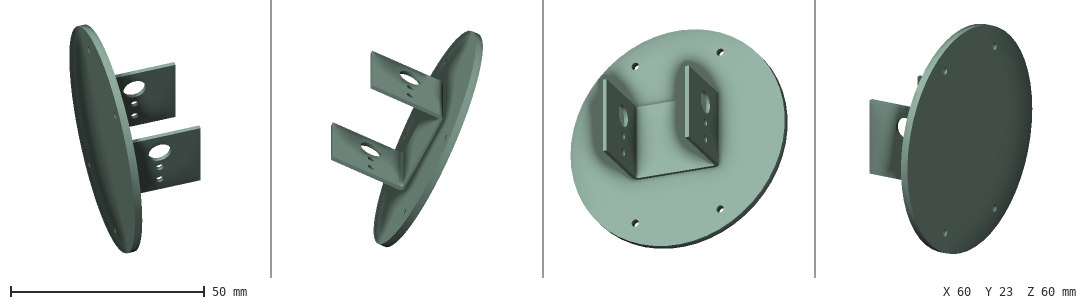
import cadquery as cq

plate_diameter = 60.0
plate_thickness = 2.0
plate_hole_diameter = 2.0
plate_hole_spacing_x = 23.75
plate_hole_spacing_z = 44.0

overall_depth = 23.0
bracket_width = 24.0
bracket_height = 20.0
sheet_thickness = 1.0
bend_outer_radius = 1.75
bend_inner_radius = bend_outer_radius - sheet_thickness

arm_hole_setback = 11.0
arm_hole_y = overall_depth - arm_hole_setback
large_hole_diameter = 6.0
large_hole_z = 4.0
small_hole_diameter = 2.0
small_hole_heights = (-1.6, -6.25)


def make_plate():
    """Disc with four through holes at the corners of a rectangle."""
    disc = cq.Workplane("XZ").circle(plate_diameter / 2).extrude(-plate_thickness)
    holes = (
        cq.Workplane("XZ")
        .rect(plate_hole_spacing_x, plate_hole_spacing_z, forConstruction=True)
        .vertices()
        .circle(plate_hole_diameter / 2)
        .extrude(-plate_thickness)
    )
    return disc.cut(holes)


def bend_block(width, front_y, bend_radius):
    """Block from front_y to the free arm ends, with its front vertical edges rounded."""
    return (
        cq.Workplane("XY")
        .box(width, overall_depth - front_y, bracket_height, centered=(True, False, True))
        .translate((0, front_y, 0))
        .edges("|Z and <Y")
        .fillet(bend_radius)
    )


def arm_hole(diameter, z):
    """Cylinder along X that crosses both arms."""
    return (
        cq.Workplane("YZ")
        .center(arm_hole_y, z)
        .circle(diameter / 2)
        .extrude(bracket_width / 2, both=True)
    )


def make_bracket():
    """Bent sheet channel, open toward +Y, with holes through the arms."""
    outside = bend_block(bracket_width, plate_thickness, bend_outer_radius)
    inside = bend_block(
        bracket_width - 2 * sheet_thickness,
        plate_thickness + sheet_thickness,
        bend_inner_radius,
    )
    bracket = outside.cut(inside)
    bracket = bracket.cut(arm_hole(large_hole_diameter, large_hole_z))
    for z in small_hole_heights:
        bracket = bracket.cut(arm_hole(small_hole_diameter, z))
    return bracket


plate = make_plate()
bracket = make_bracket()
result = cq.Compound.makeCompound([plate.val(), bracket.val()])